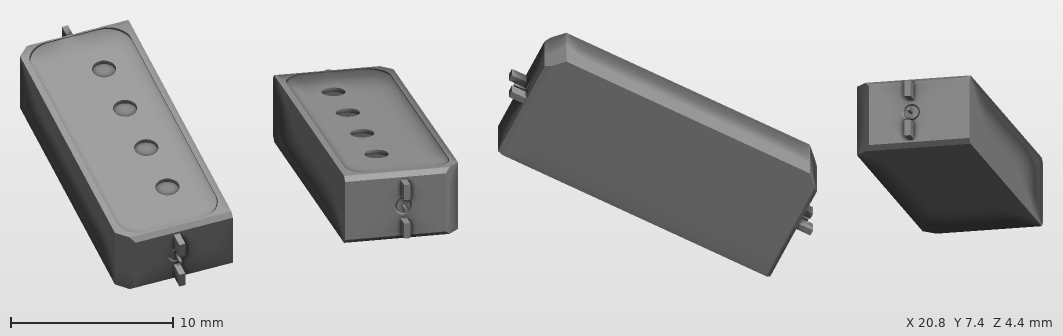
import cadquery as cq

overall_length = 20.8
depth = 7.4
height = 4.4
tab_protrusion = 1.0
body_length = overall_length - 2 * tab_protrusion
body_half = body_length / 2

front_corner_chamfer = 1.0
end_edge_chamfer = 0.3

rim_width = 0.4
lid_recess = 0.08
lid_thickness = 0.3
pocket_corner_radius = 1.5
lid_corner_radius = 1.7
lid_length = body_length - 2 * rim_width
lid_width = depth - 2 * rim_width

opening_count = 4
opening_diameter = 1.5
opening_pitch = 3.75
opening_row_y = 0.8

tab_width = 0.4
tab_height = 1.0
tab_center_z = 1.27
pin_diameter = 0.2
pin_protrusion = 0.75
bore_diameter = 0.95
bore_mouth_diameter = 1.1
bore_chamfer = (bore_mouth_diameter - bore_diameter) / 2
bore_depth = 0.2
bead_diameter = 0.85


def make_body():
    """Block with bevelled front corners and bevelled top and bottom end edges."""
    body = cq.Workplane("XY").box(body_length, depth, height)
    body = body.edges("|Z and <Y").chamfer(front_corner_chamfer)
    end_profile = cq.Workplane("XZ").rect(body_length, height).extrude(depth / 2, both=True)
    return body.intersect(end_profile.edges("|Y").chamfer(end_edge_chamfer))


def rounded_slab(corner_radius, bottom_z, thickness):
    """Slab with rounded corners, as long and wide as the lid."""
    slab = cq.Workplane("XY").workplane(offset=bottom_z).rect(lid_length, lid_width).extrude(thickness)
    return slab.edges("|Z").fillet(corner_radius)


def make_lid(floor_z):
    """Lid whose larger corner radius leaves slim gaps in the pocket corners."""
    lid = rounded_slab(lid_corner_radius, floor_z, lid_thickness)
    openings = (
        cq.Workplane("XY")
        .workplane(offset=floor_z)
        .center(0, opening_row_y)
        .rarray(opening_pitch, 0.2, opening_count, 1)
        .circle(opening_diameter / 2)
        .extrude(lid_thickness)
    )
    return lid.cut(openings)


def end_cylinder(diameter, start_x, end_x):
    """Cylinder on the X axis between two X positions."""
    return cq.Workplane("YZ").workplane(offset=start_x).circle(diameter / 2).extrude(end_x - start_x)


def make_bore():
    """Countersunk blind bore at the +X end, revolved about the X axis."""
    floor_x = body_half - bore_depth
    profile = (
        cq.Workplane("XY")
        .moveTo(floor_x, 0)
        .lineTo(floor_x, bore_diameter / 2)
        .lineTo(body_half - bore_chamfer, bore_diameter / 2)
        .lineTo(body_half, bore_mouth_diameter / 2)
        .lineTo(body_half, 0)
        .close()
    )
    return profile.revolve(360, (0, 0, 0), (1, 0, 0))


def make_terminals():
    """Bead, pin and two ground tabs at the +X end."""
    floor_x = body_half - bore_depth
    bead = end_cylinder(bead_diameter, floor_x, body_half)
    pin = end_cylinder(pin_diameter, floor_x, body_half + pin_protrusion)
    terminals = bead.union(pin)
    for side in (-1, 1):
        tab = (
            cq.Workplane("YZ")
            .workplane(offset=floor_x)
            .center(0, side * tab_center_z)
            .rect(tab_width, tab_height)
            .extrude(bore_depth + tab_protrusion)
        )
        terminals = terminals.union(tab)
    return terminals


pocket_depth = lid_recess + lid_thickness
pocket_floor_z = height / 2 - pocket_depth

result = make_body()
result = result.cut(rounded_slab(pocket_corner_radius, pocket_floor_z, pocket_depth))
result = result.union(make_lid(pocket_floor_z))
bore = make_bore()
terminals = make_terminals()
result = result.cut(bore).cut(bore.mirror("YZ"))
result = result.union(terminals).union(terminals.mirror("YZ"))